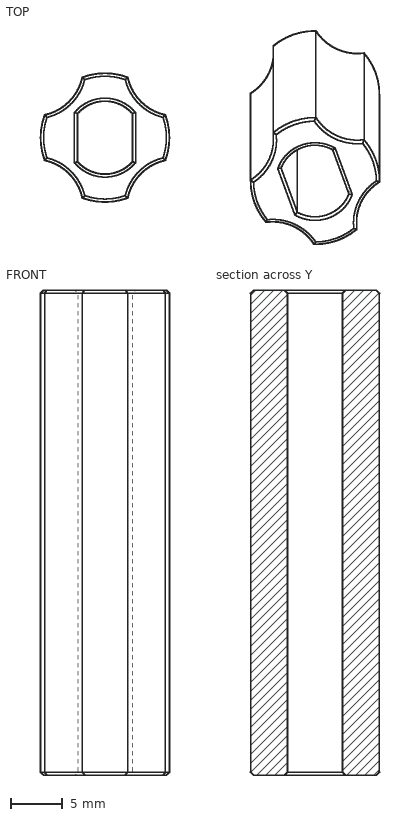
import cadquery as cq
import math

length = 46.9
outer_diameter = 12.45
lobe_width = 4.4
groove_floor_radius = 4.9
groove_count = 4
bore_diameter = 7.05
bore_flat_width = 5.3
end_chamfer = 0.3

outer_radius = outer_diameter / 2

corner_angle = math.asin(lobe_width / 2 / outer_radius)
groove_half_angle = math.pi / groove_count - corner_angle
groove_half_chord = outer_radius * math.sin(groove_half_angle)
groove_depth = outer_radius * math.cos(groove_half_angle) - groove_floor_radius
groove_radius = (groove_half_chord**2 + groove_depth**2) / (2 * groove_depth)
groove_axis_distance = groove_floor_radius + groove_radius


def make_body():
    """Round bar with evenly spaced lengthwise grooves, leaving a lobe on each X and Y axis."""
    bar = cq.Workplane("XY").circle(outer_radius).extrude(length)
    grooves = (
        cq.Workplane("XY")
        .polarArray(groove_axis_distance, 180 / groove_count, 360, groove_count)
        .circle(groove_radius)
        .extrude(length)
    )
    return bar.cut(grooves)


def make_bore():
    """Through bore with two flats facing the X axis."""
    round_bore = cq.Workplane("XY").circle(bore_diameter / 2).extrude(length)
    flat_limits = cq.Workplane("XY").rect(bore_flat_width, bore_diameter).extrude(length)
    return round_bore.intersect(flat_limits)


result = make_body().cut(make_bore()).faces("<Z or >Z").chamfer(end_chamfer)